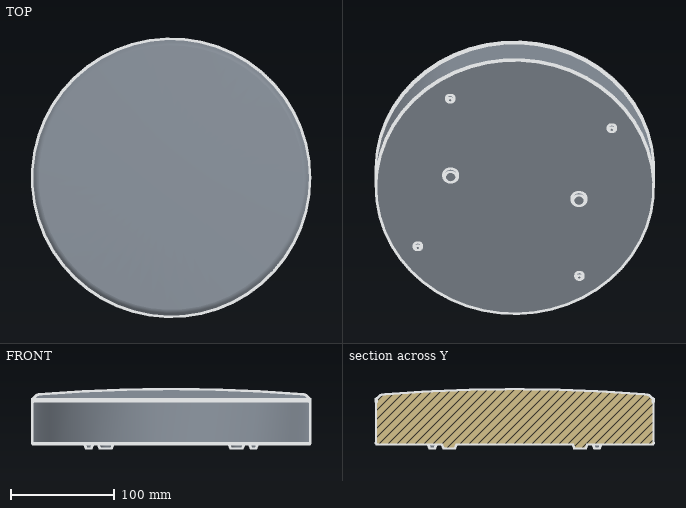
import cadquery as cq
import math

body_radius = 135.0
total_height = 58.0
foot_height = 4.0
bottom_chamfer = 1.5
bottom_inset = 0.5

groove_bottom = 45.5
groove_top = 47.0
groove_depth = 0.8

lid_edge_height = 48.0
bevel_radius = 131.5
bevel_height = 51.3
shoulder_radius = 130.0
shoulder_height = 52.5
dome_radius = 128.2
dome_edge_height = 53.0

large_foot_radii = (7.3, 5.7)
small_foot_radii = (4.0, 2.5)
foot_embed = 1.4
large_foot_offset = 63.5
small_foot_offset = 80.0


def make_body():
    """Revolve the half section of the base, groove and domed lid."""
    groove_radius = body_radius - groove_depth
    dome_rise = total_height - dome_edge_height
    sphere_radius = (dome_radius**2 + dome_rise**2) / (2 * dome_rise)
    middle_radius = dome_radius / 2
    middle_drop = sphere_radius - math.sqrt(sphere_radius**2 - middle_radius**2)
    dome_middle = (middle_radius, total_height - middle_drop)
    return (
        cq.Workplane("XZ")
        .moveTo(0, foot_height)
        .lineTo(body_radius - bottom_inset, foot_height)
        .lineTo(body_radius, foot_height + bottom_chamfer)
        .lineTo(body_radius, groove_bottom)
        .lineTo(groove_radius, groove_bottom)
        .lineTo(groove_radius, groove_top)
        .lineTo(body_radius, groove_top)
        .lineTo(body_radius, lid_edge_height)
        .lineTo(bevel_radius, bevel_height)
        .threePointArc((shoulder_radius, shoulder_height), (dome_radius, dome_edge_height))
        .threePointArc(dome_middle, (0, total_height))
        .close()
        .revolve(360, (0, 0, 0), (0, 1, 0))
    )


def make_foot(x, y, radii):
    """Conical foot that narrows towards the floor, rooted slightly inside the body."""
    upper_radius, lower_radius = radii
    section = (
        cq.Workplane("XZ")
        .lineTo(lower_radius, 0)
        .lineTo(upper_radius, foot_height)
        .lineTo(upper_radius, foot_height + foot_embed)
        .lineTo(0, foot_height + foot_embed)
        .close()
    )
    return section.revolve(360, (0, 0, 0), (0, 1, 0)).translate((x, y, 0))


result = make_body()
for side in (-1, 1):
    result = result.union(make_foot(side * large_foot_offset, 0, large_foot_radii))
    for end in (-1, 1):
        foot = make_foot(side * small_foot_offset, end * small_foot_offset, small_foot_radii)
        result = result.union(foot)